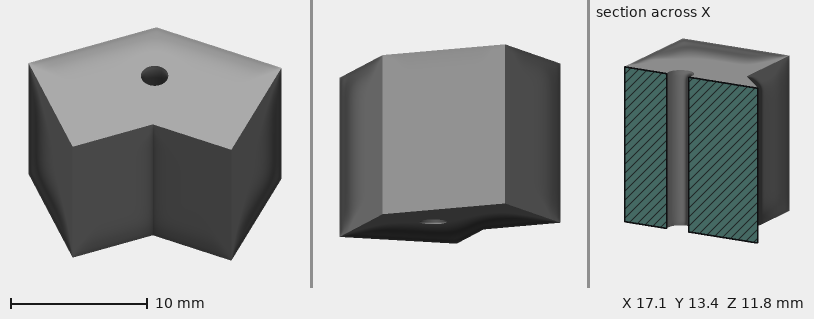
import cadquery as cq
import math

HEIGHT = 11.8
LEG_WIDTH = 9.0
OUTER_LEG_LENGTH = 10.0
BEND_ANGLE = math.radians(45.0)
HOLE_DIAMETER = 2.0

miter_slope = math.tan(BEND_ANGLE / 2)
miter_offset = LEG_WIDTH * miter_slope


def along_angled_leg(distance, depth):
    """Point of the angled leg: distance from the outer corner, depth in from its outer face."""
    x = -distance * math.cos(BEND_ANGLE) + depth * math.sin(BEND_ANGLE)
    y = -distance * math.sin(BEND_ANGLE) - depth * math.cos(BEND_ANGLE)
    return (x, y)


def make_elbow():
    """Two equal legs joined at the bend; the outer corner is at the XY origin."""
    outline = [
        (0, 0),
        (OUTER_LEG_LENGTH, 0),
        (OUTER_LEG_LENGTH, -LEG_WIDTH),
        (miter_offset, -LEG_WIDTH),
        along_angled_leg(OUTER_LEG_LENGTH, LEG_WIDTH),
        along_angled_leg(OUTER_LEG_LENGTH, 0),
    ]
    return cq.Workplane("XY").polyline(outline).close().extrude(HEIGHT)


def make_hole():
    """Vertical through hole at the middle of the miter line."""
    center = (miter_offset / 2, -LEG_WIDTH / 2)
    return cq.Workplane("XY").center(*center).circle(HOLE_DIAMETER / 2).extrude(HEIGHT)


result = make_elbow().cut(make_hole())